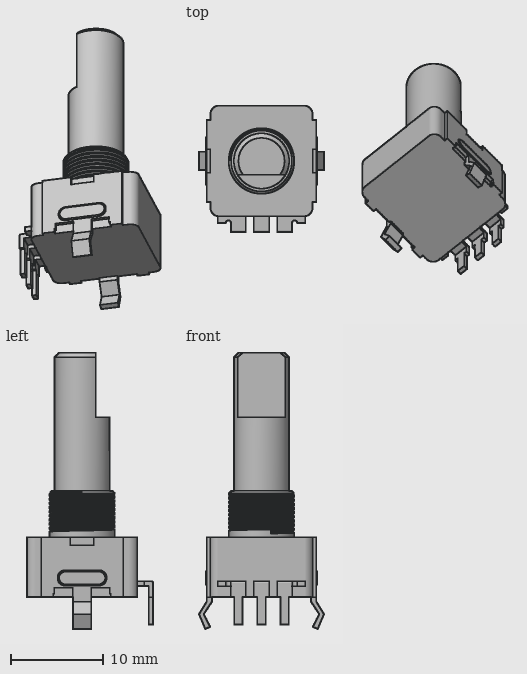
import cadquery as cq
import math


OVERALL_WIDTH = 13.57
OVERALL_DEPTH = 13.71

BODY_HEIGHT = 6.5
BODY_DEPTH = 12.0
CORE_WIDTH = 11.1
SIDE_PLATE = 0.4
SIDE_PLATE_LENGTH = 8.9
FRONT_FLAT = 9.5
CORNER_START_Y = 5.06
WIDTH = CORE_WIDTH + 2 * SIDE_PLATE

TOP_NOTCH_LENGTH = 2.55
TOP_NOTCH_DEPTH = 0.9
FOOT_NOTCH_END = 3.0
FOOT_NOTCH_HEIGHT = 1.0
FOOT_STEP_END = 3.13
FOOT_STEP_HEIGHT = 0.38

OVAL_LENGTH = 5.33
OVAL_HEIGHT = 1.68
OVAL_CENTRE_Z = 2.07
OVAL_RISE = 0.08
OVAL_SLOPE = 0.16

LEG_WIDTH = 2.0
LEG_THICKNESS = 0.6
LEG_STRAIGHT = 0.5
KNEE_X = OVERALL_WIDTH / 2
KNEE_Z = -1.86
KNEE_THICKNESS = 0.53
TIP_OUTER = (6.10, -3.48)
TIP_INNER = (5.55, -3.23)

TERMINAL_PITCH = 2.5
TERMINAL_TOP = 1.72
TERMINAL_END_Y = BODY_DEPTH / 2 - OVERALL_DEPTH
TERMINAL_SHEET = 0.55
PIN_THICKNESS = 0.5
PIN_WIDTH = 0.93
PIN_LENGTH = 3.0
CENTRE_TAB_WIDTH = 1.73
OUTER_TAB_WIDTH = 1.63
BEND_RADIUS = 0.2
WING_REACH = 0.73
RELIEF_RADIUS = 0.275

BUSHING_DIAMETER = 7.12
BUSHING_HEIGHT = 5.0
BUSHING_CHAMFER = 0.26
THREAD_PITCH = 0.45
THREAD_DEPTH = 0.19
THREAD_MOUTH = 0.32
THREAD_START = 0.53
THREAD_START_ANGLE = -73.0
THREAD_TURNS = 9.7
THREAD_OVERCUT = 0.05

SHAFT_DIAMETER = 6.0
SHAFT_LENGTH = 20.0
SHAFT_CHAMFER = 0.5
FLAT_LENGTH = 7.0
FLAT_OFFSET = 1.5

SIDES = (-1, 1)


def box(x_range, y_range, z_range):
    """Box between two limits along each axis, the limits being in any order."""
    spans = [(min(limits), max(limits)) for limits in (x_range, y_range, z_range)]
    size = [high - low for low, high in spans]
    corner = tuple(low for low, high in spans)
    return cq.Workplane("XY").box(*size, centered=False).translate(corner)


def make_core():
    """Housing between the side plates, with four rounded corners."""
    half_width = CORE_WIDTH / 2
    half_depth = BODY_DEPTH / 2
    quarter = (
        cq.Workplane("XY")
        .lineTo(half_width, 0)
        .lineTo(half_width, CORNER_START_Y)
        .tangentArcPoint((FRONT_FLAT / 2, half_depth), relative=False)
        .lineTo(0, half_depth)
        .close()
        .extrude(BODY_HEIGHT)
    )
    half = quarter.union(quarter.mirror("YZ"))
    return half.union(half.mirror("XZ"))


def make_side_plate(side):
    """Side plate with a notch in its top edge and a notch on each side of the leg."""
    inner = side * CORE_WIDTH / 2
    outer = side * WIDTH / 2
    half_length = SIDE_PLATE_LENGTH / 2
    half_notch = TOP_NOTCH_LENGTH / 2
    plate = box((inner, outer), (-half_length, half_length), (0, BODY_HEIGHT))
    plate = plate.cut(
        box((inner, outer), (-half_notch, half_notch), (BODY_HEIGHT - TOP_NOTCH_DEPTH, BODY_HEIGHT))
    )
    for end in SIDES:
        leg_edge = end * LEG_WIDTH / 2
        plate = plate.cut(box((inner, outer), (leg_edge, end * FOOT_NOTCH_END), (0, FOOT_NOTCH_HEIGHT)))
        plate = plate.cut(box((inner, outer), (leg_edge, end * FOOT_STEP_END), (0, FOOT_STEP_HEIGHT)))
    return plate


def make_oval(side):
    """Low oval boss with a sloping border, standing on the side plate."""
    slope_angle = math.degrees(math.atan2(OVAL_SLOPE, OVAL_RISE))
    oval = (
        cq.Workplane("YZ", origin=(WIDTH / 2, 0, OVAL_CENTRE_Z))
        .slot2D(OVAL_LENGTH, OVAL_HEIGHT)
        .extrude(OVAL_RISE, taper=slope_angle)
    )
    return oval if side > 0 else oval.mirror("YZ")


def make_leg(side):
    """Snap-in leg that bends outward to a knee and then back inward."""
    outer = WIDTH / 2
    inner = outer - LEG_THICKNESS
    profile = [
        (outer, 0),
        (outer, -LEG_STRAIGHT),
        (KNEE_X, KNEE_Z),
        TIP_OUTER,
        TIP_INNER,
        (KNEE_X - KNEE_THICKNESS, KNEE_Z),
        (inner, -LEG_STRAIGHT),
        (inner, FOOT_NOTCH_HEIGHT),
        (outer, FOOT_NOTCH_HEIGHT),
    ]
    leg = cq.Workplane("XZ").polyline(profile).close().extrude(LEG_WIDTH / 2, both=True)
    return leg if side > 0 else leg.mirror("YZ")


def make_terminal(centre_x, tab_width):
    """Terminal that leaves the housing level, bends down and narrows to a pin."""
    face_y = -BODY_DEPTH / 2
    pin_back_y = TERMINAL_END_Y + PIN_THICKNESS
    tab_x = (centre_x - tab_width / 2, centre_x + tab_width / 2)
    pin_x = (centre_x - PIN_WIDTH / 2, centre_x + PIN_WIDTH / 2)
    level = box(tab_x, (TERMINAL_END_Y, face_y), (TERMINAL_TOP - TERMINAL_SHEET, TERMINAL_TOP))
    upright = box(tab_x, (TERMINAL_END_Y, pin_back_y), (0, TERMINAL_TOP))
    bent = level.union(upright).edges("|X and >Z and <Y").fillet(BEND_RADIUS)
    pin = box(pin_x, (TERMINAL_END_Y, pin_back_y), (-PIN_LENGTH, 0))
    return bent.union(pin)


def make_wing(side):
    """Level wing on the outer side of an outer terminal, with a round relief between them."""
    face_y = -BODY_DEPTH / 2
    edge_y = face_y - WING_REACH
    tab_edge = TERMINAL_PITCH + OUTER_TAB_WIDTH / 2
    bottom = TERMINAL_TOP - TERMINAL_SHEET
    wing = box((side * tab_edge, side * FRONT_FLAT / 2), (edge_y, face_y), (bottom, TERMINAL_TOP))
    relief = (
        cq.Workplane("XY", origin=(side * (tab_edge + RELIEF_RADIUS), edge_y, bottom))
        .circle(RELIEF_RADIUS)
        .extrude(TERMINAL_SHEET)
    )
    return wing.cut(relief)


def make_thread_cutter():
    """Helical V groove that starts above the housing and runs out on the bushing chamfer."""
    radius = BUSHING_DIAMETER / 2
    helix = cq.Wire.makeHelix(THREAD_PITCH, THREAD_PITCH * THREAD_TURNS, radius)
    half_outer = THREAD_MOUTH / 2 * (1 + THREAD_OVERCUT / THREAD_DEPTH)
    groove = (
        cq.Workplane("XZ")
        .moveTo(radius - THREAD_DEPTH, 0)
        .lineTo(radius + THREAD_OVERCUT, half_outer)
        .lineTo(radius + THREAD_OVERCUT, -half_outer)
        .close()
        .sweep(cq.Workplane(obj=helix), isFrenet=True)
    )
    turned = groove.rotate((0, 0, 0), (0, 0, 1), THREAD_START_ANGLE)
    return turned.translate((0, 0, BODY_HEIGHT + THREAD_START))


def make_bushing():
    """Threaded bushing on top of the housing."""
    bushing = (
        cq.Workplane("XY", origin=(0, 0, BODY_HEIGHT))
        .circle(BUSHING_DIAMETER / 2)
        .extrude(BUSHING_HEIGHT)
        .faces(">Z")
        .chamfer(BUSHING_CHAMFER)
    )
    return bushing.cut(make_thread_cutter())


def make_shaft():
    """Shaft with a chamfered end and a flat on its -Y side."""
    radius = SHAFT_DIAMETER / 2
    top = BODY_HEIGHT + SHAFT_LENGTH
    shaft = (
        cq.Workplane("XY", origin=(0, 0, BODY_HEIGHT))
        .circle(radius)
        .extrude(SHAFT_LENGTH)
        .faces(">Z")
        .chamfer(SHAFT_CHAMFER)
    )
    return shaft.cut(box((-radius, radius), (-radius, -FLAT_OFFSET), (top - FLAT_LENGTH, top)))


result = make_core()
for side in SIDES:
    result = result.union(make_side_plate(side))
    result = result.union(make_oval(side))
    result = result.union(make_leg(side))
    result = result.union(make_terminal(side * TERMINAL_PITCH, OUTER_TAB_WIDTH))
    result = result.union(make_wing(side))
result = result.union(make_terminal(0, CENTRE_TAB_WIDTH))
result = result.union(make_bushing())
result = result.union(make_shaft())